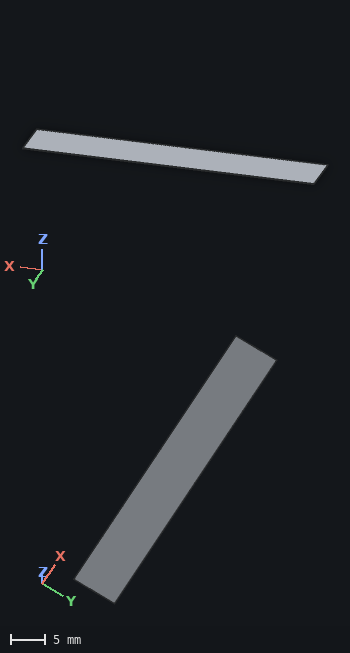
import cadquery as cq

length = 44.0
width = 7.0
thickness = 0.15

result = cq.Workplane("XY").box(length, width, thickness)